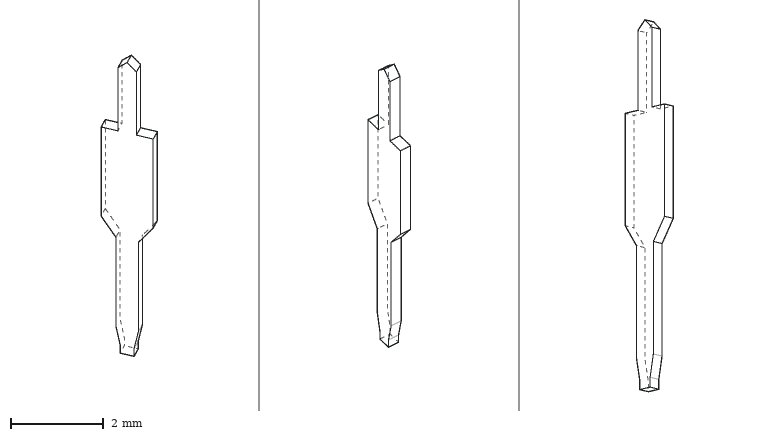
import cadquery as cq

length = 8.2
thickness = 0.27
body_width = 1.2

pin_width = 0.43
stem_width = 0.52
foot_width = 0.32

foot_height = 0.22
taper_height = 0.5
stem_height = 2.5
body_height = 2.5
point_height = 0.205

foot_top = foot_height
stem_bottom = foot_top + taper_height
stem_top = stem_bottom + stem_height
body_bottom = stem_top + taper_height
body_top = body_bottom + body_height
point_bottom = length - point_height

right_side = [
    (foot_width / 2, 0),
    (foot_width / 2, foot_top),
    (stem_width / 2, stem_bottom),
    (stem_width / 2, stem_top),
    (body_width / 2, body_bottom),
    (body_width / 2, body_top),
    (pin_width / 2, body_top),
    (pin_width / 2, point_bottom),
]
left_side = [(-x, z) for x, z in reversed(right_side)]
tip = (0, length)

result = (
    cq.Workplane("XZ")
    .polyline(right_side + [tip] + left_side)
    .close()
    .extrude(thickness / 2, both=True)
)